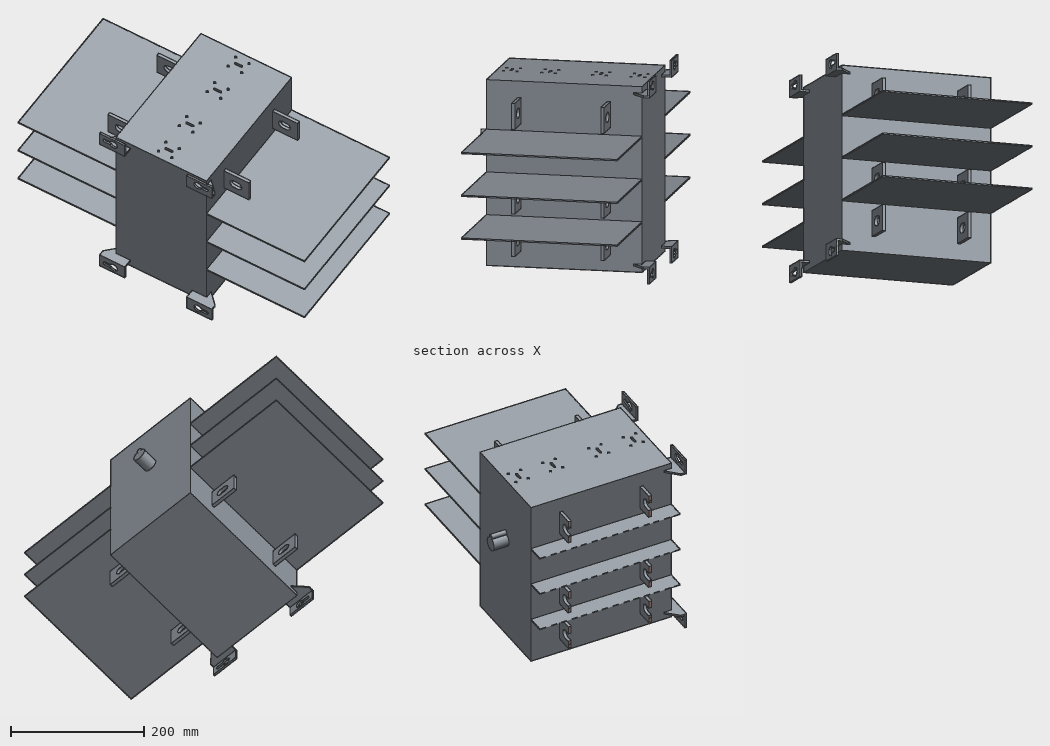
import cadquery as cq

HOUSING_WIDTH = 161.5
HOUSING_DEPTH = 239.5
HOUSING_HEIGHT = 285.5
SIDE_X = HOUSING_WIDTH / 2
FRONT_Y = -HOUSING_DEPTH / 2
BACK_Y = HOUSING_DEPTH / 2
TOP_Z = HOUSING_HEIGHT / 2

BARRIER_SPAN = 509
BARRIER_THICKNESS = 2.0
BARRIER_PITCH = 65.5

POLE_PITCH = 65.0
TERMINAL_POLES = (-1.5, -0.5, 1.5)
SHAFT_POLE = 0.5
TERMINAL_SPAN = 250.5
TERMINAL_HEIGHT = 39.5
TERMINAL_THICKNESS = 5
TERMINAL_ROW_SPACING = 27
TERMINAL_SLOT_LENGTH = 21.0
TERMINAL_SLOT_HEIGHT = 15.0
TERMINAL_SLOT_X = 102

OVERALL_HEIGHT = 311.0
FOOT_OUTER_X = 100.0
FOOT_WIDTH = 45.0
FOOT_REACH = 16.0
FOOT_SHEET = 3.0
FLANGE_HEIGHT = 25.5
FLANGE_END_Z = OVERALL_HEIGHT / 2
TAB_STRAIGHT_EDGE = 9.5
KEYHOLE_X = 75.0
KEYHOLE_DIAMETER = 13.5
KEYHOLE_SLOT_WIDTH = 6.5
KEYHOLE_SLOT_END_X = 93.0
KEYHOLE_EDGE_DISTANCE = 11.0

SHAFT_LENGTH = 25.5
SHAFT_DIAMETER = 22.0
RIB_DIAMETER = 8.0
RIB_RISE = 17.0

GROUP_OFFSETS_Y = (-98.0, -39.0, 39.0, 98.0)
GROUP_SPACING_X = 24.0
GROUP_SPACING_Y = 21.0
GROUP_HOLE_DIAMETER = 3.5
GROUP_SLOT_LENGTH = 13.5
GROUP_SLOT_WIDTH = 3.0
GROUP_DEPTH = 5


def make_barriers():
    sheet = cq.Workplane("XY").box(BARRIER_SPAN, HOUSING_DEPTH, BARRIER_THICKNESS)
    barriers = cq.Workplane("XY")
    for level in (-1, 0, 1):
        barriers = barriers.add(sheet.translate((0, 0, level * BARRIER_PITCH)))
    return barriers.combine()


def make_terminal_bar():
    """A bar across the housing with a slot in each projecting end."""
    return (
        cq.Workplane("XZ")
        .box(TERMINAL_SPAN, TERMINAL_HEIGHT, TERMINAL_THICKNESS)
        .faces("<Y")
        .workplane()
        .pushPoints([(-TERMINAL_SLOT_X, 0), (TERMINAL_SLOT_X, 0)])
        .slot2D(TERMINAL_SLOT_LENGTH, TERMINAL_SLOT_HEIGHT)
        .cutThruAll()
    )


def make_foot():
    """The foot at the upper +X corner."""
    flange_y = FRONT_Y - FOOT_REACH
    inner_x = FOOT_OUTER_X - FOOT_WIDTH
    bottom_z = FLANGE_END_Z - FLANGE_HEIGHT
    straight_end_y = flange_y + TAB_STRAIGHT_EDGE
    tab_end_y = straight_end_y + FOOT_OUTER_X - SIDE_X
    tab = (
        cq.Workplane("XY", origin=(0, 0, bottom_z))
        .moveTo(inner_x, flange_y)
        .lineTo(FOOT_OUTER_X, flange_y)
        .lineTo(FOOT_OUTER_X, straight_end_y)
        .lineTo(SIDE_X, tab_end_y)
        .lineTo(inner_x, tab_end_y)
        .close()
        .extrude(FOOT_SHEET)
    )
    flange = cq.Workplane("XY").box(FOOT_WIDTH, FOOT_SHEET, FLANGE_HEIGHT, centered=False)
    flange = flange.translate((inner_x, flange_y, bottom_z))

    keyhole_z = FLANGE_END_Z - KEYHOLE_EDGE_DISTANCE
    slot_arc_x = KEYHOLE_SLOT_END_X - KEYHOLE_SLOT_WIDTH / 2
    slot_length = slot_arc_x - KEYHOLE_X + KEYHOLE_SLOT_WIDTH
    keyhole_plane = cq.Workplane("XZ", origin=(0, flange_y, keyhole_z))
    keyhole = (
        keyhole_plane.center(KEYHOLE_X, 0)
        .circle(KEYHOLE_DIAMETER / 2)
        .extrude(-FOOT_SHEET)
    )
    keyhole = keyhole.union(
        keyhole_plane.center((KEYHOLE_X + slot_arc_x) / 2, 0)
        .slot2D(slot_length, KEYHOLE_SLOT_WIDTH)
        .extrude(-FOOT_SHEET)
    )
    return tab.union(flange.cut(keyhole))


def make_shaft():
    shaft_plane = cq.Workplane("XZ", origin=(0, BACK_Y, SHAFT_POLE * POLE_PITCH))
    shaft = shaft_plane.circle(SHAFT_DIAMETER / 2).extrude(-SHAFT_LENGTH)
    rib = (
        shaft_plane.center(0, RIB_RISE - RIB_DIAMETER / 2)
        .circle(RIB_DIAMETER / 2)
        .extrude(-SHAFT_LENGTH)
    )
    return shaft.union(rib)


def make_hole_group(y):
    group_plane = cq.Workplane("XY", origin=(0, y, TOP_Z))
    holes = (
        group_plane.rect(GROUP_SPACING_X, GROUP_SPACING_Y, forConstruction=True)
        .vertices()
        .circle(GROUP_HOLE_DIAMETER / 2)
        .extrude(-GROUP_DEPTH)
    )
    slot = group_plane.slot2D(GROUP_SLOT_LENGTH, GROUP_SLOT_WIDTH).extrude(-GROUP_DEPTH)
    return holes.add(slot)


result = cq.Workplane("XY").box(HOUSING_WIDTH, HOUSING_DEPTH, HOUSING_HEIGHT)
result = result.union(make_barriers())

terminal_bar = make_terminal_bar()
for pole in TERMINAL_POLES:
    for row in (-2.5, 2.5):
        position = (0, row * TERMINAL_ROW_SPACING, pole * POLE_PITCH)
        result = result.union(terminal_bar.translate(position))

upper_right_foot = make_foot()
upper_feet = upper_right_foot.union(upper_right_foot.mirror("YZ"))
result = result.union(upper_feet).union(upper_feet.mirror("XY"))

result = result.union(make_shaft())

for group_y in GROUP_OFFSETS_Y:
    result = result.cut(make_hole_group(group_y))